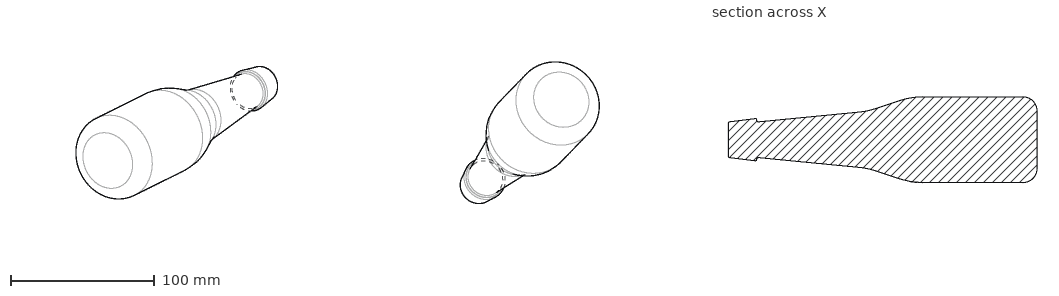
import cadquery as cq
import math

HEIGHT = 215.0

BODY_RADIUS = 30.0
BASE_FILLET = 10.0

SHOULDER_FILLET = 50.0
SHOULDER_START_Y = 88.0
SHOULDER_END_Y = 118.0
NECK_BASE_RADIUS = 20.0

NECK_TOP_RADIUS = 12.5
LIP_RADIUS = 15.0
LEDGE_Y = 195.0
MOUTH_RADIUS = 12.5
LIP_FILLET = 1.0


def tangent_arc(corner, before, after, radius):
    """Start, middle and end points of the arc that rounds a profile corner."""
    vertex = cq.Vector(*corner)
    to_before = (cq.Vector(*before) - vertex).normalized()
    to_after = (cq.Vector(*after) - vertex).normalized()
    half_angle = to_before.getAngle(to_after) / 2
    tangent_length = radius / math.tan(half_angle)
    bisector = (to_before + to_after).normalized()
    middle_distance = radius / math.sin(half_angle) - radius
    points = (
        vertex + to_before * tangent_length,
        vertex + bisector * middle_distance,
        vertex + to_after * tangent_length,
    )
    return [(point.x, point.y) for point in points]


def bottle_profile():
    """Closed half section with rounded corners, from the base centre to the mouth centre."""
    base_centre = (0, 0)
    mouth_centre = (0, HEIGHT)
    corners = [
        (BODY_RADIUS, 0),
        (BODY_RADIUS, SHOULDER_START_Y),
        (NECK_BASE_RADIUS, SHOULDER_END_Y),
        (NECK_TOP_RADIUS, LEDGE_Y),
        (LIP_RADIUS, LEDGE_Y),
        (MOUTH_RADIUS, HEIGHT),
    ]
    fillets = [BASE_FILLET, SHOULDER_FILLET, SHOULDER_FILLET, LIP_FILLET, LIP_FILLET, LIP_FILLET]
    previous_points = [base_centre] + corners[:-1]
    next_points = corners[1:] + [mouth_centre]

    section_plane = cq.Plane(origin=(0, 0, 0), xDir=(0, 0, 1), normal=(-1, 0, 0))
    profile = cq.Workplane(section_plane).moveTo(*base_centre)
    for corner, before, after, fillet in zip(corners, previous_points, next_points, fillets):
        start, middle, end = tangent_arc(corner, before, after, fillet)
        profile = profile.lineTo(*start).threePointArc(middle, end)
    return profile.lineTo(*mouth_centre).close()


result = bottle_profile().revolve(360, (0, 0, 0), (0, 1, 0))